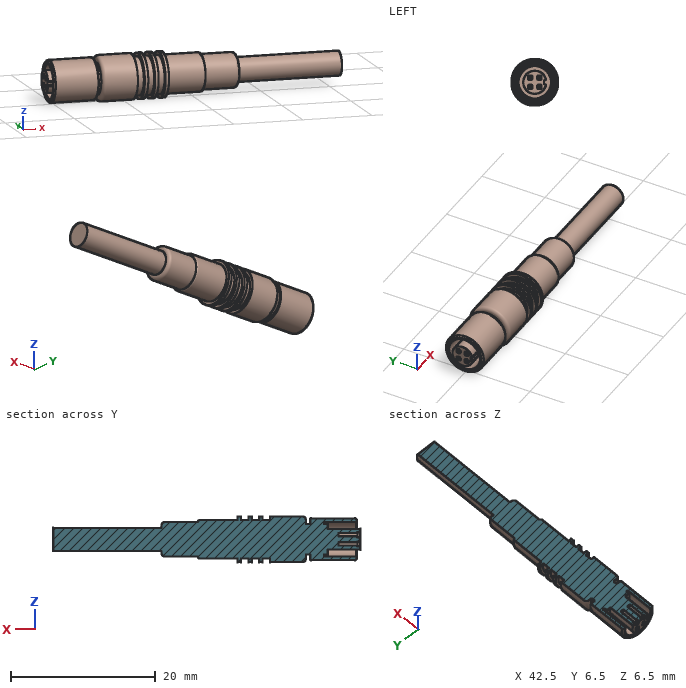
import cadquery as cq

nut_start = 0.45
nut_end = 6.95
grip_start = 7.5
grip_end = 12.5
body_end = 22.5
sleeve_end = 27.55
total_length = 42.5

nut_diameter = 6.0
neck_diameter = 4.5
grip_diameter = 6.5
body_diameter = 5.5
sleeve_diameter = 5.0
cable_diameter = 3.5
insert_diameter = 3.2

nut_front_chamfer = 0.25
nut_rear_chamfer = 0.1
socket_diameter = 4.9
socket_mouth_chamfer = 0.15
socket_end = 5.0
neck_start = 4.5

grip_round = 0.5
body_end_round = 0.24
sleeve_round = 0.5
rib_count = 3
rib_width = 0.5
first_rib_start = grip_end + 1.0
rib_pitch = 1.5

contact_pitch = 1.27
contact_hole_diameter = 0.4
contact_mouth_diameter = 0.65
contact_mouth_depth = 0.4
contact_hole_depth = 3.0
keyway_mouth_width = 0.85
keyway_floor_width = 0.4
keyway_depth = 0.35


def cylinder(diameter, start, end):
    """Cylinder on the X axis between two stations."""
    return cq.Workplane("YZ", origin=(start, 0, 0)).circle(diameter / 2).extrude(end - start)


def coupling_nut():
    nut = cylinder(nut_diameter, nut_start, nut_end)
    nut = nut.faces("<X").chamfer(nut_front_chamfer)
    nut = nut.faces(">X").chamfer(nut_rear_chamfer)
    nut = nut.cut(cylinder(socket_diameter, nut_start, socket_end))
    mouth_edge = cq.selectors.RadiusNthSelector(0)
    return nut.faces("<X").edges(mouth_edge).chamfer(socket_mouth_chamfer)


def contact_hole():
    """Blind contact hole with a wider, shallow mouth at the insert face."""
    hole = cylinder(contact_hole_diameter, 0, contact_hole_depth)
    return hole.union(cylinder(contact_mouth_diameter, 0, contact_mouth_depth))


def keyway():
    """Polarising groove along the -Y side of the insert, with sloped walls and a flat floor."""
    rim_y = -insert_diameter / 2
    section = [
        (rim_y, -keyway_mouth_width / 2),
        (rim_y, keyway_mouth_width / 2),
        (rim_y + keyway_depth, keyway_floor_width / 2),
        (rim_y + keyway_depth, -keyway_floor_width / 2),
    ]
    return cq.Workplane("YZ").polyline(section).close().extrude(neck_start)


def contact_insert():
    insert = cylinder(insert_diameter, 0, socket_end)
    for y_side in (-1, 1):
        for z_side in (-1, 1):
            position = (0, y_side * contact_pitch / 2, z_side * contact_pitch / 2)
            insert = insert.cut(contact_hole().translate(position))
    return insert.cut(keyway())


def grip():
    return cylinder(grip_diameter, grip_start, grip_end).faces("<X").edges().fillet(grip_round)


def ribbed_body():
    body = cylinder(body_diameter, grip_end, body_end).faces(">X").edges().fillet(body_end_round)
    for index in range(rib_count):
        rib_start = first_rib_start + index * rib_pitch
        body = body.union(cylinder(grip_diameter, rib_start, rib_start + rib_width))
    return body


def sleeve():
    return cylinder(sleeve_diameter, body_end, sleeve_end).faces(">X").edges().fillet(sleeve_round)


result = (
    coupling_nut()
    .union(contact_insert())
    .union(cylinder(neck_diameter, neck_start, grip_start))
    .union(grip())
    .union(ribbed_body())
    .union(sleeve())
    .union(cylinder(cable_diameter, sleeve_end, total_length))
)